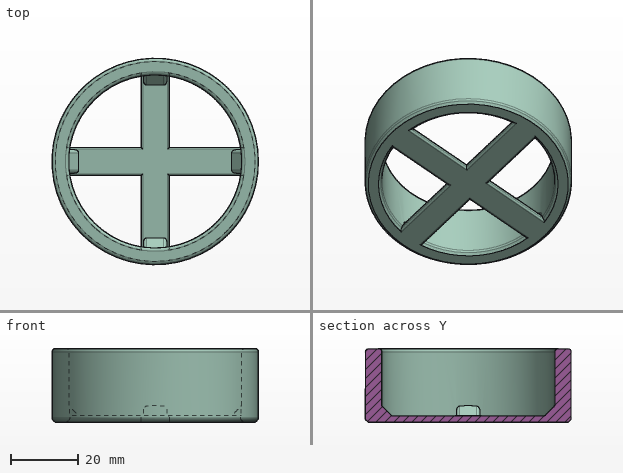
import cadquery as cq
import math

outer_diameter = 61.5
bore_diameter = 51.5
height = 22.0
rim_fillet = 1.0
bottom_chamfer = 1.0

bar_width = 8.4
bar_thickness = 2.0
bar_edge_fillet = 0.55

stop_width = 7.0
stop_inner_radius = 22.75
stop_edge_fillet = 1.0

position_tolerance = 0.005

outer_radius = outer_diameter / 2
bore_radius = bore_diameter / 2
embedded_radius = (outer_radius + bore_radius) / 2


def is_circle_at(edge, level):
    return edge.geomType() == "CIRCLE" and abs(edge.Center().z - level) < position_tolerance


def make_ring():
    ring = cq.Workplane("XY").circle(outer_radius).circle(bore_radius).extrude(height)
    ring = ring.faces(">Z").edges().fillet(rim_fillet)
    ring = ring.faces("<Z").edges().chamfer(bottom_chamfer)
    chamfer_tops = ring.edges().filter(lambda edge: is_circle_at(edge, bottom_chamfer))
    return chamfer_tops.fillet(rim_fillet)


def is_inside_bore(edge):
    center = edge.Center()
    return math.hypot(center.x, center.y) < bore_radius


def make_cross():
    bar_length = 2 * embedded_radius
    bar = cq.Workplane("XY").box(bar_length, bar_width, bar_thickness, centered=(True, True, False))
    cross = bar.union(bar.rotate((0, 0, 0), (0, 0, 1), 90))
    long_edges = cross.faces(">Z or <Z").edges().filter(is_inside_bore)
    return long_edges.fillet(bar_edge_fillet)


def make_stop():
    """A 45 degree wedge at the +X bar end, rising outwards to the wall."""
    rise = embedded_radius - stop_inner_radius
    wedge = (
        cq.Workplane("XZ")
        .moveTo(stop_inner_radius, bar_thickness)
        .lineTo(embedded_radius, bar_thickness)
        .lineTo(embedded_radius, bar_thickness + rise)
        .close()
        .extrude(stop_width / 2, both=True)
    )
    slope_sides = wedge.edges("not(|X or |Y or |Z)")
    return slope_sides.fillet(stop_edge_fillet)


result = make_ring().union(make_cross())
for angle in (0, 90, 180, 270):
    result = result.union(make_stop().rotate((0, 0, 0), (0, 0, 1), angle))